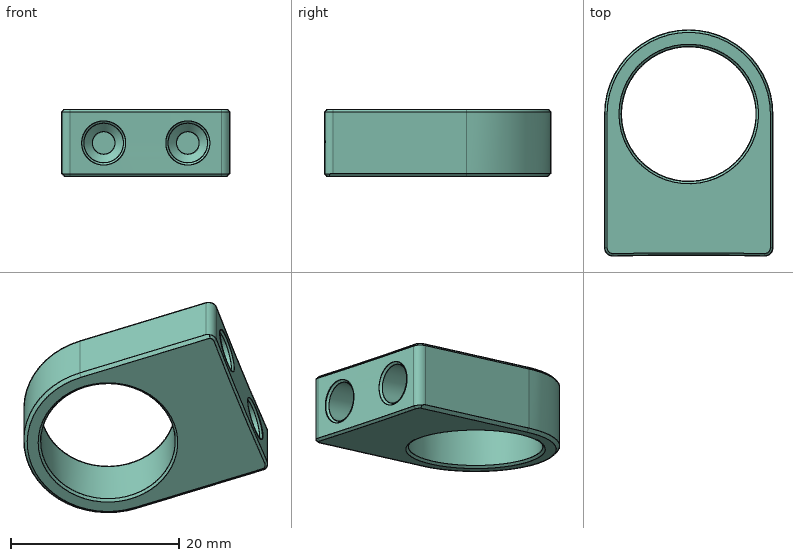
import cadquery as cq

width = 20.0
length = 26.9
thickness = 8.0
bore_diameter = 16.0
edge_chamfer = 0.3
lower_side_chamfer = 0.4
corner_radius = 1.0
front_hollow = 0.13
corner_setback = 0.03
hole_diameter = 4.7
hole_floor_diameter = 2.7
hole_straight_depth = 5.38
hole_mouth_chamfer = 0.27

outer_radius = width / 2
front_corner_y = outer_radius - length - corner_setback
front_middle_y = front_corner_y + front_hollow
hole_offset = width / 4
hole_radius = hole_diameter / 2
hole_floor_radius = hole_floor_diameter / 2


def ring_body():
    """Round-ended block with a bore and chamfered top and bottom edges."""
    outline = (
        cq.Workplane("XY")
        .workplane(offset=-thickness / 2)
        .moveTo(outer_radius, 0)
        .threePointArc((0, outer_radius), (-outer_radius, 0))
        .lineTo(-outer_radius, front_corner_y)
        .threePointArc((0, front_middle_y), (outer_radius, front_corner_y))
        .close()
    )
    body = outline.extrude(thickness)
    body = body.edges("|Z and <Y").fillet(corner_radius)
    body = body.faces(">Z").workplane().hole(bore_diameter)
    return body.faces("|Z").edges().chamfer(edge_chamfer)


def lower_side_bevel():
    """Envelope that bevels the lower sides and round end, running out past the front corners."""
    envelope = (
        cq.Workplane("XY")
        .workplane(offset=-thickness / 2)
        .moveTo(outer_radius, 0)
        .threePointArc((0, outer_radius), (-outer_radius, 0))
        .lineTo(-outer_radius, -length)
        .lineTo(outer_radius, -length)
        .close()
        .extrude(thickness)
    )
    return envelope.faces("<Z").edges().chamfer(lower_side_chamfer)


def blind_hole(x):
    """Revolved cutter: chamfered mouth, straight wall, 45 degree cone, flat floor."""
    mouth_radius = hole_radius + hole_mouth_chamfer
    wall_end_y = front_middle_y + hole_straight_depth
    floor_y = wall_end_y + hole_radius - hole_floor_radius
    return (
        cq.Workplane("XY")
        .moveTo(0, front_corner_y)
        .lineTo(mouth_radius, front_corner_y)
        .lineTo(mouth_radius, front_middle_y)
        .lineTo(hole_radius, front_middle_y + hole_mouth_chamfer)
        .lineTo(hole_radius, wall_end_y)
        .lineTo(hole_floor_radius, floor_y)
        .lineTo(0, floor_y)
        .close()
        .revolve(360, (0, 0, 0), (0, 1, 0))
        .translate((x, 0, 0))
    )


result = ring_body().intersect(lower_side_bevel())
for hole_x in (-hole_offset, hole_offset):
    result = result.cut(blind_hole(hole_x))